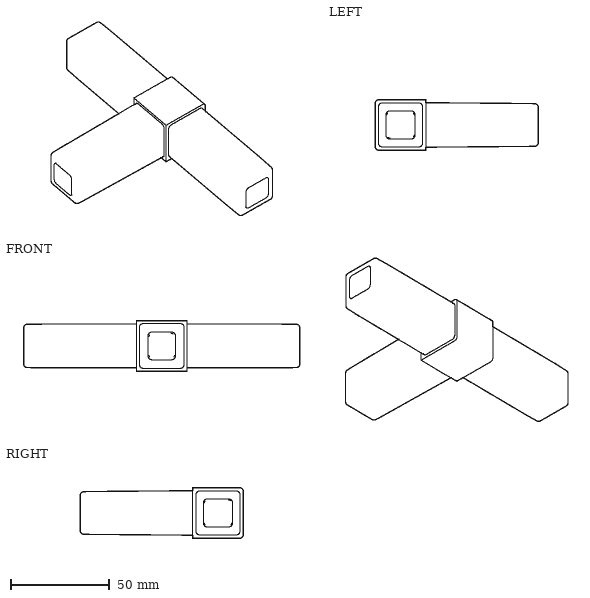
import cadquery as cq

overall_x = 140.2
overall_y = 82.9
collar_size = 25.8
collar_fillet = 2.0
collar_face = collar_size / 2

side_arm_length = (overall_x - collar_size) / 2
stem_length = overall_y - collar_size

side_body_width = 22.3
side_end_width = 22.0
side_lead_length = 10.0
side_fillet = 1.8

stem_base_width = 22.7
stem_body_end_width = 21.9
stem_end_width = 21.6
stem_lead_length = 4.6
stem_fillet = 2.0

side_pocket_mouth = (14.7, 14.2)
side_pocket_floor = (14.0, 13.3)
stem_pocket_mouth = (14.0, 14.0)
stem_pocket_floor = (12.9, 12.9)
side_pocket_fillet = 1.8
stem_pocket_fillet = 2.0


def square(width):
    return (width, width)


def tapered_block(plane, start, start_size, length, end_size):
    """Rectangular frustum running along the plane normal."""
    return (
        cq.Workplane(plane)
        .workplane(offset=start)
        .rect(*start_size)
        .workplane(offset=length)
        .rect(*end_size)
        .loft(ruled=True)
    )


def edges_at(solid, plane, height):
    """Edges whose middle lies at the given height along the plane normal."""
    tolerance = 0.001
    return [
        edge for edge in solid.edges().vals()
        if abs(plane.toLocalCoords(edge.Center()).z - height) < tolerance
    ]


def round_all_but(solid, kept_edges, radius):
    """Fillet every edge except the kept ones."""
    rounded = [
        edge for edge in solid.edges().vals()
        if not any(edge.isSame(kept) for kept in kept_edges)
    ]
    return solid.newObject(rounded).fillet(radius)


def make_arm(plane, length, lead_length, widths, fillet):
    """Solid arm along the plane normal, starting at the collar face."""
    base_width, body_end_width, end_width = widths
    body_length = length - lead_length
    body = tapered_block(plane, collar_face, square(base_width), body_length, square(body_end_width))
    lead = tapered_block(
        plane, collar_face + body_length, square(body_end_width), lead_length, square(end_width)
    )
    arm = body.union(lead)
    kept_edges = edges_at(arm, plane, collar_face) + edges_at(arm, plane, collar_face + body_length)
    return round_all_but(arm, kept_edges, fillet)


def make_pocket(plane, length, mouth, floor, fillet):
    """Cutter for a blind pocket with rounded corners and floor edges."""
    cutter = tapered_block(plane, collar_face, floor, length, mouth)
    mouth_edges = edges_at(cutter, plane, collar_face + length)
    return round_all_but(cutter, mouth_edges, fillet)


collar = cq.Workplane("XY").box(collar_size, collar_size, collar_size)
collar = collar.faces(">Y").edges("|X").fillet(collar_fillet)
result = collar

side_widths = (side_body_width, side_body_width, side_end_width)
for direction in (1, -1):
    side_plane = cq.Plane(origin=(0, 0, 0), xDir=(0, 1, 0), normal=(direction, 0, 0))
    side_arm = make_arm(side_plane, side_arm_length, side_lead_length, side_widths, side_fillet)
    side_pocket = make_pocket(
        side_plane, side_arm_length, side_pocket_mouth, side_pocket_floor, side_pocket_fillet
    )
    result = result.union(side_arm).cut(side_pocket)

stem_plane = cq.Plane(origin=(0, 0, 0), xDir=(1, 0, 0), normal=(0, -1, 0))
stem_widths = (stem_base_width, stem_body_end_width, stem_end_width)
stem = make_arm(stem_plane, stem_length, stem_lead_length, stem_widths, stem_fillet)
stem_pocket = make_pocket(
    stem_plane, stem_length, stem_pocket_mouth, stem_pocket_floor, stem_pocket_fillet
)
result = result.union(stem).cut(stem_pocket)